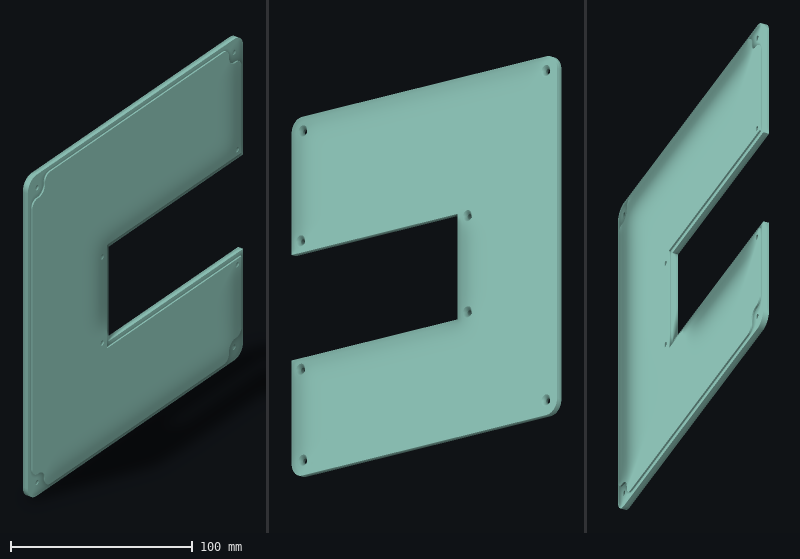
import cadquery as cq

plate_thickness = 3.5
pad_height = 1.0
width = 200.0
height = 205
plate_corner_radius = 8.0

slot_end_y = -25.0
slot_mid_z = -5.1
slot_height = 60.3

pad_inset = 2.9
notch_size = 11.7
notch_inner_radius = 6.0
notch_outer_radius = 4.7

hole_diameter = 3.0
countersink_diameter = 6.8
countersink_angle = 90
corner_hole_inset = 8.5
slot_mouth_hole_y = 93.3
slot_mouth_hole_offset = 36.7
slot_end_hole_y = -32.4
slot_end_hole_offset = 27.5


def block(start_x, thickness, size_y, size_z):
    """Block centred on the X axis that grows toward +X from start_x."""
    return (
        cq.Workplane("YZ", origin=(start_x, 0, 0))
        .rect(size_y, size_z)
        .extrude(thickness)
    )


def make_plate():
    return block(0, plate_thickness, width, height).edges("|X").fillet(plate_corner_radius)


def make_pad():
    """Raised pad, built as a cross so that its four corners are notched."""
    pad_width = width - 2 * pad_inset
    pad_length = height - 2 * pad_inset
    wide_arm = block(plate_thickness, pad_height, pad_width, pad_length - 2 * notch_size)
    tall_arm = block(plate_thickness, pad_height, pad_width - 2 * notch_size, pad_length)
    outer_ends = "(<Y or >Y or <Z or >Z)"
    return (
        wide_arm.union(tall_arm)
        .edges(f"|X and (not {outer_ends})").fillet(notch_inner_radius)
        .edges(f"|X and {outer_ends}").fillet(notch_outer_radius)
    )


def make_slot(start_x, thickness, clearance):
    """Cutter for the slot, widened by a clearance on its closed sides."""
    end_y = slot_end_y - clearance
    length = width / 2 - end_y
    return (
        block(start_x, thickness, length, slot_height + 2 * clearance)
        .translate((0, end_y + length / 2, slot_mid_z))
    )


def hole_centres():
    """(y, z) of every screw hole."""
    centres = []
    for side in (-1, 1):
        corner_z = side * (height / 2 - corner_hole_inset)
        for end in (-1, 1):
            centres.append((end * (width / 2 - corner_hole_inset), corner_z))
        centres.append((slot_mouth_hole_y, slot_mid_z + side * slot_mouth_hole_offset))
        centres.append((slot_end_hole_y, slot_mid_z + side * slot_end_hole_offset))
    return centres


def drill_holes(body):
    points = [(-y, z) for y, z in hole_centres()]
    return (
        body.faces("<X")
        .workplane(origin=(0, 0, 0))
        .pushPoints(points)
        .cskHole(hole_diameter, countersink_diameter, countersink_angle)
    )


plate = make_plate().cut(make_slot(0, plate_thickness, 0))
pad = make_pad().cut(make_slot(plate_thickness, pad_height, pad_inset))
result = drill_holes(plate.union(pad))